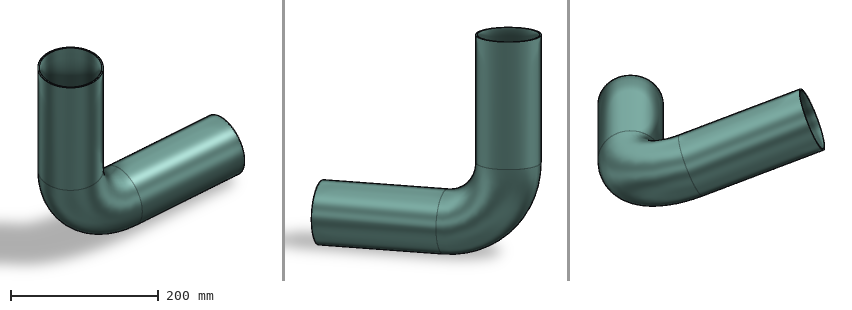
import cadquery as cq
import math

overall_length = 311.0
outer_diameter = 89.0
inner_diameter = 84.5

bend_radius = outer_diameter
straight_length = overall_length - bend_radius - outer_diameter / 2
leg_length = straight_length + bend_radius

mid_bend = bend_radius * (1 - math.sqrt(0.5))
centreline = (
    cq.Workplane("YZ")
    .moveTo(0, leg_length)
    .lineTo(0, bend_radius)
    .threePointArc((mid_bend, mid_bend), (bend_radius, 0))
    .lineTo(leg_length, 0)
)

result = (
    cq.Workplane("XY", origin=(0, 0, leg_length))
    .circle(outer_diameter / 2)
    .circle(inner_diameter / 2)
    .sweep(centreline)
)